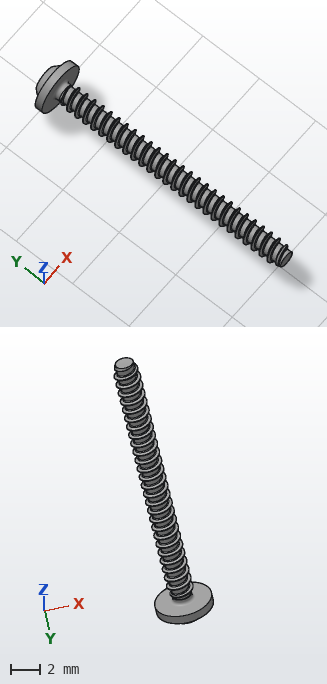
import cadquery as cq

overall_length = 21.35
head_height = 1.35
washer_radius = 1.996
washer_thickness = 0.62
dome_top_radius = 1.0
dome_base_radius = 1.58
dome_middle_radius = 1.32

shank_length = overall_length - head_height
core_radius = 0.62
neck_radius = 0.68
neck_fillet = 0.21
neck_length = 0.43
tip_dish_depth = 0.05

crest_radius = 0.9
crest_half_width = 0.032
flank_foot_radius = 0.68
flank_foot_half_width = 0.1
ridge_base_radius = 0.53
ridge_base_half_width = 0.25
helix_turns = 29
helix_start = -0.32
helix_end = shank_length + 0.25
pitch = (helix_end - helix_start) / helix_turns
helix_end_angle = -75
core_margin = 0.85

full_thread_start = 1.0
full_thread_end = 19.15
envelope_radius = crest_radius + 0.02
tip_envelope_radius = core_radius + 0.02


def revolve_about_axis(profile):
    """Close a YZ profile and turn it a full circle about the Y axis."""
    return profile.close().revolve(360, (0, 0, 0), (1, 0, 0))


def make_head_and_neck():
    """Washer with a flat-topped convex dome above and a filleted neck below."""
    dome_middle = (washer_thickness + head_height) / 2
    return revolve_about_axis(
        cq.Workplane("YZ")
        .moveTo(-neck_length, 0)
        .lineTo(-neck_length, neck_radius)
        .lineTo(-neck_fillet, neck_radius)
        .radiusArc((0, neck_radius + neck_fillet), -neck_fillet)
        .lineTo(0, washer_radius)
        .lineTo(washer_thickness, washer_radius)
        .lineTo(washer_thickness, dome_base_radius)
        .threePointArc((dome_middle, dome_middle_radius), (head_height, dome_top_radius))
        .lineTo(head_height, 0)
    )


def make_ridge():
    """Right-handed thread ridge swept along a helix around the Y axis."""
    helix = cq.Wire.makeHelix(pitch, helix_end - helix_start, core_radius)
    half_section = [
        (crest_radius, crest_half_width),
        (flank_foot_radius, flank_foot_half_width),
        (ridge_base_radius, ridge_base_half_width),
    ]
    mirrored_half = [(radius, -offset) for radius, offset in reversed(half_section)]
    return (
        cq.Workplane("XZ")
        .polyline(half_section + mirrored_half)
        .close()
        .sweep(helix, isFrenet=True)
        .rotate((0, 0, 0), (1, 0, 0), -90)
        .rotate((0, 0, 0), (0, 1, 0), helix_end_angle)
        .translate((0, -helix_end, 0))
    )


def make_envelope():
    """Limits of the threaded stretch: conical run-outs and a dished tip."""
    dish_radius = (tip_envelope_radius**2 + tip_dish_depth**2) / (2 * tip_dish_depth)
    return revolve_about_axis(
        cq.Workplane("YZ")
        .moveTo(-neck_length, 0)
        .lineTo(-neck_length, neck_radius)
        .lineTo(-full_thread_start, envelope_radius)
        .lineTo(-full_thread_end, envelope_radius)
        .lineTo(-shank_length, tip_envelope_radius)
        .radiusArc((tip_dish_depth - shank_length, 0), dish_radius)
    )


def make_threaded_shank():
    """Core with its thread, trimmed to the envelope."""
    core_length = shank_length + 2 * core_margin
    core = cq.Workplane("XZ", origin=(0, core_margin, 0)).circle(core_radius).extrude(core_length)
    return core.union(make_ridge()).intersect(make_envelope(), clean=False)


result = make_head_and_neck().union(make_threaded_shank(), clean=False)